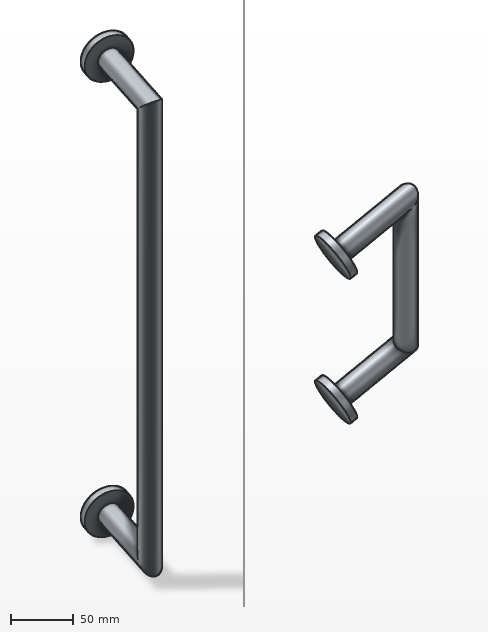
import cadquery as cq

overall_height = 501.5
overall_depth = 87.0
flange_diameter = 44.5
flange_thickness = 7.0
bar_diameter = 20.0

post_height = (overall_height - flange_diameter) / 2
grip_x = overall_depth - bar_diameter / 2


def make_bar():
    """Round bar: two posts joined to the upright grip by mitred corners."""
    centreline = (
        cq.Workplane("XZ")
        .moveTo(0, -post_height)
        .lineTo(grip_x, -post_height)
        .lineTo(grip_x, post_height)
        .lineTo(0, post_height)
    )
    return (
        cq.Workplane("YZ")
        .center(0, -post_height)
        .circle(bar_diameter / 2)
        .sweep(centreline, transition="right")
    )


def make_flange(height):
    """Round mounting flange at the wall end of a post."""
    return (
        cq.Workplane("YZ")
        .center(0, height)
        .circle(flange_diameter / 2)
        .extrude(flange_thickness)
    )


result = make_bar()
for flange_height in (-post_height, post_height):
    result = result.union(make_flange(flange_height))